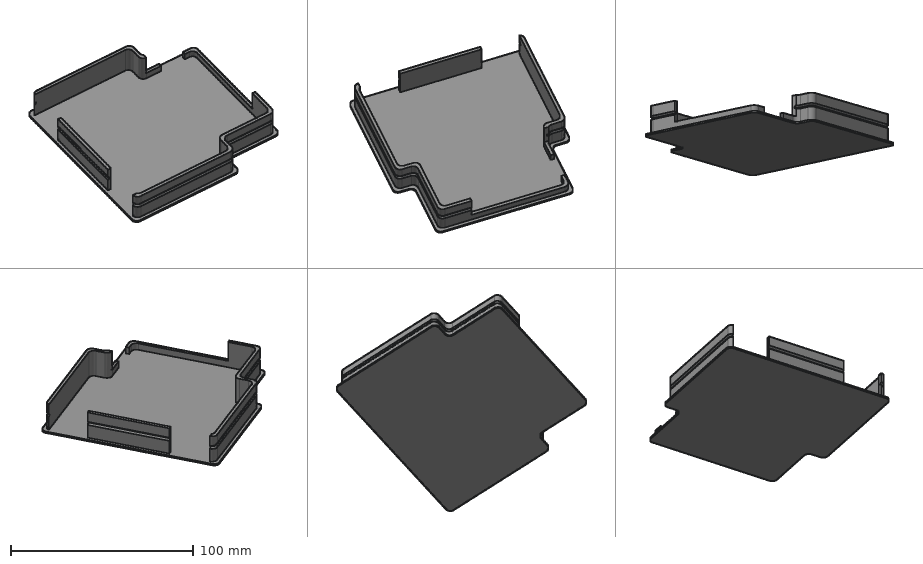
import cadquery as cq

base_width = 104.0
base_length = 105.0
rear_width = 81.0
rear_length = 35.0
base_thickness = 1.0
corner_radius = 3.0

total_height = 17.0
wall_inset = 2.0
wall_thickness = 2.0
low_wall_height = 5.0

front_bar_width = 48.0
front_bar_center = -1.0
right_return = corner_radius
low_rear_width = 58.0
low_left_length = 33.9
port_start = 8.1
port_length = 15.9

groove_height = 10.1
groove_depth = 1.0
groove_slope = 45.0

wall_half_width = base_width / 2 - wall_inset
wall_half_length = base_length / 2 - wall_inset
rear_half_width = rear_width / 2 - wall_inset


def stepped_block(inset, bottom, top):
    """Prism over the stepped outline, moved inward by inset, with all corners rounded."""
    half_width = base_width / 2 - inset
    half_rear = rear_width / 2 - inset
    rear = base_length / 2 - inset
    step = base_length / 2 - rear_length - inset
    front = -base_length / 2 + inset
    return (
        cq.Workplane("XY", origin=(0, 0, bottom))
        .polyline([
            (-half_width, front), (half_width, front),
            (half_width, step), (half_rear, step),
            (half_rear, rear), (-half_rear, rear),
            (-half_rear, step), (-half_width, step),
        ])
        .close()
        .extrude(top - bottom)
        .edges("|Z")
        .fillet(corner_radius)
    )


def cutter(x_min, x_max, y_min, y_max, bottom):
    """Box from bottom up past the wall top."""
    return cq.Workplane("XY").box(
        x_max - x_min, y_max - y_min, total_height, centered=False
    ).translate((x_min, y_min, bottom))


def snap_groove():
    """V-groove ring that follows the wall's outer face around every corner."""
    bottom = groove_height - groove_depth
    top = groove_height + groove_depth
    band = stepped_block(wall_inset, bottom, top)
    lower_core = band.faces("<Z").wires().toPending().extrude(
        groove_depth, taper=groove_slope, combine=False
    )
    upper_core = lower_core.mirror("XY", (0, 0, groove_height))
    return band.cut(lower_core).cut(upper_core)


wall = stepped_block(wall_inset, base_thickness, total_height).cut(
    stepped_block(wall_inset + wall_thickness, base_thickness, total_height)
)
wall = wall.cut(snap_groove())

front_back = -wall_half_length + wall_thickness + corner_radius
bar_left = front_bar_center - front_bar_width / 2
bar_right = front_bar_center + front_bar_width / 2
wall = wall.cut(cutter(-wall_half_width + wall_thickness, bar_left,
                       -base_length / 2, front_back, base_thickness))
wall = wall.cut(cutter(bar_right, wall_half_width - right_return,
                       -base_length / 2, front_back, base_thickness))

wall = wall.cut(cutter(-rear_half_width - corner_radius, -rear_half_width + low_rear_width,
                       wall_half_length - low_left_length, base_length / 2, low_wall_height))

port_rear = wall_half_length - port_start
wall = wall.cut(cutter(-rear_width / 2, -rear_half_width + wall_thickness,
                       port_rear - port_length, port_rear, base_thickness))

result = stepped_block(0, 0, base_thickness).union(wall)